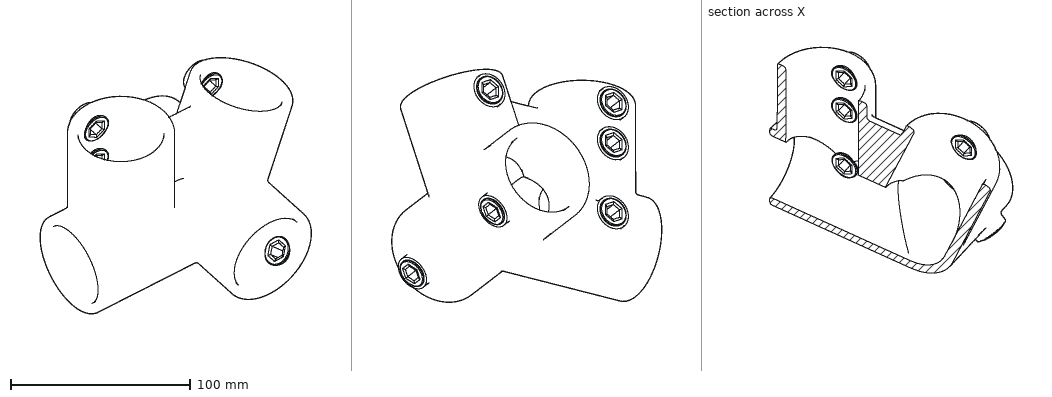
import cadquery as cq
import math

TUBE_RADIUS = 30.0
BORE_RADIUS = 24.0
RIM_ROUND = 2.0
CROSS_LENGTH = 120.0
FRONT_LENGTH = 94.0
UPRIGHT_OFFSET = 59.0
UPRIGHT_LENGTH = 83.0
SLANT_LENGTH = 75.0
SLANT_ANGLE = math.radians(20.0)

RIB_WIDTH = 10.0
RIB_HEIGHT = SLANT_LENGTH * math.cos(SLANT_ANGLE)
RIB_ROUND = 2.0
JUNCTION_ROUND = 2.0
TOUCH_TOLERANCE = 1e-3

BOSS_RADIUS = 10.0
BOSS_TOP = 34.5
SCREW_RADIUS = 8.33
SCREW_INNER_END = 22.5
SCREW_OUTER_END = 35.5
SCREW_LENGTH = SCREW_OUTER_END - SCREW_INNER_END
SCREW_CHAMFER = 0.5
HEX_SIDES = 6
HEX_ACROSS_FLATS = 8.0
HEX_MOUTH_ACROSS_FLATS = 10.8
HEX_MOUTH_DEPTH = 0.5
SCREW_RIM_SETBACK = 15.0
UPRIGHT_SCREW_PITCH = 25.0

CENTRE = cq.Vector(0, 0, 0)
RIGHT = cq.Vector(1, 0, 0)
LEFT = cq.Vector(-1, 0, 0)
FORWARD = cq.Vector(0, -1, 0)
UP = cq.Vector(0, 0, 1)
SLANT = cq.Vector(0, math.sin(SLANT_ANGLE), math.cos(SLANT_ANGLE))
SLANT_FRONT = cq.Vector(0, -math.cos(SLANT_ANGLE), math.sin(SLANT_ANGLE))
BACK_AND_DOWN = cq.Vector(0, 1, -1).normalized()
CROSS_END = LEFT * (CROSS_LENGTH / 2)
UPRIGHT_FOOT = FORWARD * UPRIGHT_OFFSET

CROSS_TUBE = (CROSS_END, RIGHT, CROSS_LENGTH, UP)
FRONT_TUBE = (CENTRE, FORWARD, FRONT_LENGTH, UP)
UPRIGHT_TUBE = (UPRIGHT_FOOT, UP, UPRIGHT_LENGTH, LEFT)
SLANT_TUBE = (CENTRE, SLANT, SLANT_LENGTH, SLANT_FRONT)
TUBES = (CROSS_TUBE, FRONT_TUBE, UPRIGHT_TUBE, SLANT_TUBE)

UPPER_SCREW_HEIGHT = UPRIGHT_LENGTH - SCREW_RIM_SETBACK
CROSS_SCREW_X = CROSS_LENGTH / 2 - SCREW_RIM_SETBACK
SCREW_STATIONS = (
    (UPRIGHT_FOOT, LEFT),
    (UPRIGHT_FOOT + UP * (UPPER_SCREW_HEIGHT - UPRIGHT_SCREW_PITCH), LEFT),
    (UPRIGHT_FOOT + UP * UPPER_SCREW_HEIGHT, LEFT),
    (SLANT * (SLANT_LENGTH - SCREW_RIM_SETBACK), LEFT),
    (LEFT * CROSS_SCREW_X, BACK_AND_DOWN),
    (RIGHT * CROSS_SCREW_X, BACK_AND_DOWN),
)


def make_rod(start, axis, length, seam, radius):
    """Round bar along an axis, with its seam on the given side."""
    return cq.Workplane(cq.Plane(start, seam, axis)).circle(radius).extrude(length)


def screw_plane(station, outward):
    """Plane across a screw at the tube axis; a hexagon drawn on it has corners along the seam direction."""
    seam = UP if outward == LEFT else RIGHT
    return cq.Plane(station, seam, outward)


def make_boss(station, outward):
    """Solid boss running from the tube axis out past the wall."""
    return cq.Workplane(screw_plane(station, outward)).circle(BOSS_RADIUS).extrude(BOSS_TOP)


def make_rib():
    """Web between the axes of the two tubes, rounded along its top edges."""
    outline = [
        (-UPRIGHT_OFFSET, 0),
        (0, 0),
        (RIB_HEIGHT * math.tan(SLANT_ANGLE), RIB_HEIGHT),
        (-UPRIGHT_OFFSET, RIB_HEIGHT),
    ]
    web = cq.Workplane("YZ").polyline(outline).close().extrude(RIB_WIDTH / 2, both=True)
    return web.edges(">Z and |Y").fillet(RIB_ROUND)


def touches(part, edge):
    """True if the middle of an edge lies on the skin of a part."""
    middle = cq.Vertex.makeVertex(*edge.positionAt(0.5).toTuple())
    return part.val().Shells()[0].distance(middle) < TOUCH_TOLERANCE


def make_casting():
    """Solid tubes, rib and bosses joined with rounded roots; the rib's foot on the front tube stays sharp."""
    tubes = [make_rod(*tube, TUBE_RADIUS) for tube in TUBES]
    front_tube = tubes[TUBES.index(FRONT_TUBE)]
    bosses = [make_boss(*station) for station in SCREW_STATIONS]
    rib = make_rib()
    parts = [*tubes, rib, *bosses]
    casting = parts[0]
    for part in parts[1:]:
        casting = casting.union(part)

    roots = []
    for edge in casting.edges().vals():
        meets_two_parts = sum(touches(part, edge) for part in parts) >= 2
        is_rib_foot = touches(rib, edge) and touches(front_tube, edge)
        if meets_two_parts and not is_rib_foot:
            roots.append(edge)
    return casting.newObject(roots).fillet(JUNCTION_ROUND)


def round_rims(housing):
    """Round the outer and bore edges at every open tube end."""
    rim_centres = [CROSS_END]
    for start, axis, length, _ in TUBES:
        rim_centres.append(start + axis * length)
    rims = []
    for edge in housing.edges("%CIRCLE").vals():
        if any((edge.arcCenter() - centre).Length < TOUCH_TOLERANCE for centre in rim_centres):
            rims.append(edge)
    return housing.newObject(rims).fillet(RIM_ROUND)


def make_housing():
    """Casting with bored tubes, rounded rims and a plain hole for each screw."""
    housing = make_casting()
    for tube in TUBES:
        housing = housing.cut(make_rod(*tube, BORE_RADIUS))
    housing = round_rims(housing)
    for station, outward in SCREW_STATIONS:
        hole = cq.Workplane(screw_plane(station, outward)).circle(SCREW_RADIUS).extrude(BOSS_TOP)
        housing = housing.cut(hole)
    return housing


def make_screw(station, outward):
    """Set screw with a hexagon socket right through and tapered socket mouths at both ends."""
    plane = screw_plane(station, outward)
    flats_to_corners = 1 / math.cos(math.pi / HEX_SIDES)
    socket_diameter = HEX_ACROSS_FLATS * flats_to_corners
    mouth_diameter = HEX_MOUTH_ACROSS_FLATS * flats_to_corners
    inner_face = cq.Workplane(plane).workplane(offset=SCREW_INNER_END)
    screw = inner_face.circle(SCREW_RADIUS).extrude(SCREW_LENGTH).edges("%CIRCLE").chamfer(SCREW_CHAMFER)
    socket = inner_face.polygon(HEX_SIDES, socket_diameter).extrude(SCREW_LENGTH)
    screw = screw.cut(socket)
    for face_offset, inward in ((SCREW_INNER_END, 1), (SCREW_OUTER_END, -1)):
        mouth = (
            cq.Workplane(plane)
            .workplane(offset=face_offset)
            .polygon(HEX_SIDES, mouth_diameter)
            .workplane(offset=inward * HEX_MOUTH_DEPTH)
            .polygon(HEX_SIDES, socket_diameter)
            .loft(ruled=True)
        )
        screw = screw.cut(mouth)
    return screw


housing = make_housing()
screws = [make_screw(*station) for station in SCREW_STATIONS]
result = cq.Compound.makeCompound([body.solids().val() for body in (housing, *screws)])